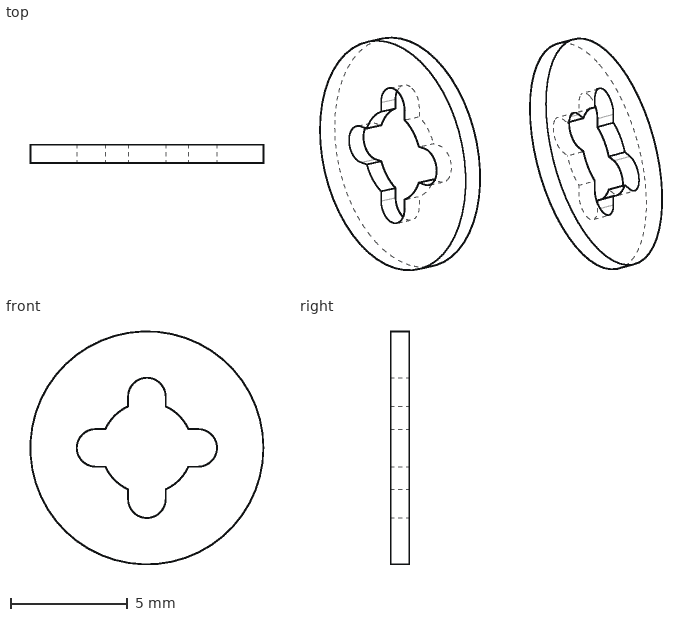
import cadquery as cq

disc_diameter = 10.0
thickness = 0.8
bore_diameter = 3.9
slot_length = 6.0
slot_width = 1.6


def slot_cutter(angle):
    """Round-ended slot through the disc centre, turned by angle degrees."""
    return cq.Workplane("XZ").slot2D(slot_length, slot_width, angle).extrude(thickness)


disc = cq.Workplane("XZ").circle(disc_diameter / 2).extrude(thickness)
bore = cq.Workplane("XZ").circle(bore_diameter / 2).extrude(thickness)

result = disc.cut(bore)
for slot_angle in (0, 90):
    result = result.cut(slot_cutter(slot_angle))